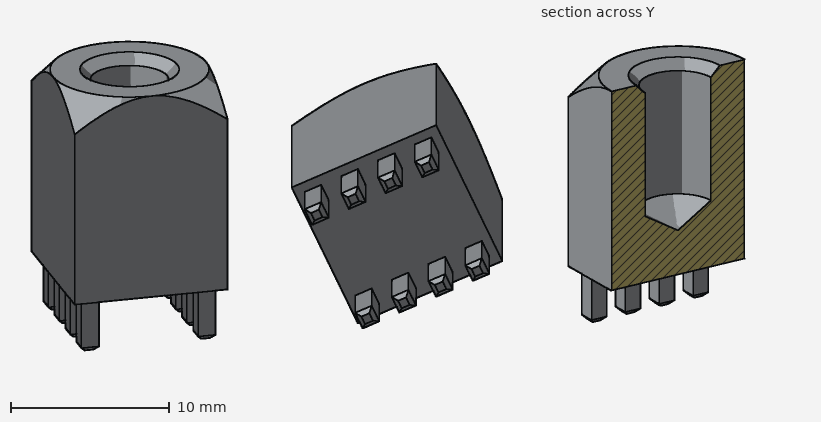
import cadquery as cq
import math

body_width = 10.0
body_height = 13.5

top_flat_radius = body_width / 2
corner_radius = top_flat_radius * math.sqrt(2)
corner_drop = corner_radius - top_flat_radius

hole_radius = 4.917 / 2
hole_depth = 9.0
drill_point_angle = 118.0
drill_tip_height = hole_radius / math.tan(math.radians(drill_point_angle / 2))
countersink_radius = 6.25 / 2
countersink_depth = countersink_radius - hole_radius

pin_pitch = 2.54
pins_per_row = 4
row_count = 2
row_spacing = (pins_per_row - 1) * pin_pitch
pin_width = 1.15
pin_length = 3.5
pin_tip_chamfer = 0.3


def revolve_about_z(profile):
    """Solid of revolution about Z from a closed (radius, height) profile."""
    return cq.Workplane("XZ").polyline(profile).close().revolve(360, (0, 0), (0, 1))


def make_body():
    """Square block whose top corners are turned down to a cone."""
    block = cq.Workplane("XY").rect(body_width, body_width).extrude(body_height)
    turned_envelope = revolve_about_z([
        (0, 0),
        (corner_radius, 0),
        (corner_radius, body_height - corner_drop),
        (top_flat_radius, body_height),
        (0, body_height),
    ])
    return block.intersect(turned_envelope)


def make_hole():
    """Countersunk hole with a conical bottom, as a solid to cut away."""
    hole_bottom = body_height - hole_depth
    return revolve_about_z([
        (0, hole_bottom - drill_tip_height),
        (hole_radius, hole_bottom),
        (hole_radius, body_height - countersink_depth),
        (countersink_radius, body_height),
        (0, body_height),
    ])


def make_pins():
    """Square pins below the body, with chamfered tips."""
    return (
        cq.Workplane("XY")
        .rarray(pin_pitch, row_spacing, pins_per_row, row_count)
        .rect(pin_width, pin_width)
        .extrude(-pin_length)
        .faces("<Z")
        .chamfer(pin_tip_chamfer)
    )


result = make_body().cut(make_hole()).union(make_pins())